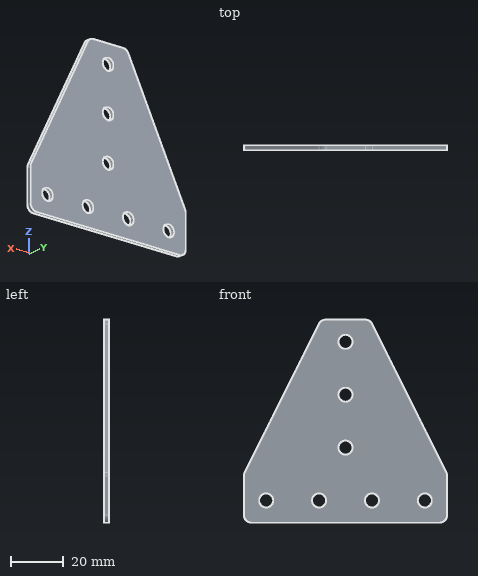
import cadquery as cq

width = 77.0
height = 77.0
thickness = 2.0

top_width = 18.5
side_height = 18.5
corner_radius = 3.0

hole_diameter = 5.2
hole_pitch = 20.0
base_hole_count = 4
column_hole_count = 3
base_row_z = (height - column_hole_count * hole_pitch) / 2


def make_plate():
    """Symmetric plate, tapering toward the top, with every corner rounded."""
    outline = [
        (-width / 2, 0),
        (width / 2, 0),
        (width / 2, side_height),
        (top_width / 2, height),
        (-top_width / 2, height),
        (-width / 2, side_height),
    ]
    plate = cq.Workplane("XZ").polyline(outline).close().extrude(thickness / 2, both=True)
    return plate.edges("|Y").fillet(corner_radius)


def make_holes():
    """Through-hole cylinders for the base row and the central column."""
    row_start = -(base_hole_count - 1) * hole_pitch / 2
    base_row = [(row_start + i * hole_pitch, base_row_z) for i in range(base_hole_count)]
    column = [(0, base_row_z + i * hole_pitch) for i in range(1, column_hole_count + 1)]
    centers = cq.Workplane("XZ").pushPoints(base_row + column)
    return centers.circle(hole_diameter / 2).extrude(thickness, both=True)


result = make_plate().cut(make_holes())